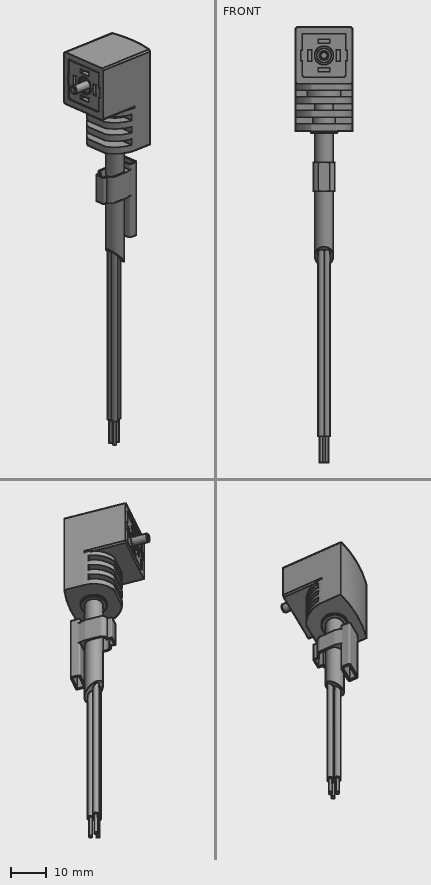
import cadquery as cq
import math


width = 16.0
half_width = width / 2
block_height = 16.0
housing_height = 29.1
front_y = -12.2
back_y = 7.0
back_bulge = 1.0
side_edge_chamfer = 0.5

neck_flat_y = -7.2
neck_corner_fillet = 1.2
groove_height = 1.8
groove_pitch = 3.8
first_groove_depth = 17.7
groove_floor_y = -1.1
groove_core_radii = [4.9, 2.8, 3.3]

socket_z = -block_height / 2
recess_size = 12.2
recess_depth = 0.4
recess_corner_chamfer = 0.5
tab_span = 12.9
tab_height = 3.0
slot_length = 3.3
slot_thickness = 1.1
slot_offset = 4.0
slot_depth = 1.8
counterbore_diameter = 5.2
counterbore_depth = 0.4
bore_diameter = 4.0
bore_depth = 1.8
pin_diameter = 2.5
pin_chamfer = 0.4
pin_tip_y = -16.3
recess_floor_y = front_y + recess_depth

collar_diameter = 7.5
collar_height = 0.6
collar_chamfer = 0.2
cable_diameter = 5.2
cable_radius = cable_diameter / 2
cable_cut_middle = -64.1
wire_diameter = 1.8
wire_end = -114.5
conductor_diameter = 1.0
conductor_end = -121.8
wire_positions = [(-0.79, -0.91), (0.79, -0.91), (0, 0.91)]

clip_top = -37.9
clip_height = 8.0
clip_wall = 0.43
clip_side_back_y = 1.6
clip_side_front_y = -2.7
nose_back_y = -4.6
nose_front_y = -6.0
nose_half = 1.6
nose_fillet = 0.2
tag_top = -36.3
tag_height = 22.5
tag_width = 5.2
tag_front_y = 3.2
tag_back_y = 6.1
tag_wall = 0.5
tag_fillet = 0.5


def box(x_range, y_range, z_range):
    """Box between the given limits on each axis."""
    (x0, x1), (y0, y1), (z0, z1) = x_range, y_range, z_range
    return cq.Workplane("XY").box(x1 - x0, y1 - y0, z1 - z0, centered=False).translate((x0, y0, z0))


def rod(diameter, top, bottom, position=(0, 0)):
    """Vertical round rod from top down to bottom."""
    plane = cq.Workplane("XY", origin=(*position, bottom))
    return plane.circle(diameter / 2).extrude(top - bottom)


def socket_plane(y):
    """Sketch plane on the socket axis, with its normal toward -Y."""
    return cq.Workplane("XZ", origin=(0, y, socket_z))


def bulged_prism(y_front, height):
    """Prism hanging from Z = 0 whose back is a shallow arc."""
    side_y = back_y - back_bulge
    return (
        cq.Workplane("XY")
        .moveTo(-half_width, y_front)
        .lineTo(half_width, y_front)
        .lineTo(half_width, side_y)
        .threePointArc((0, back_y), (-half_width, side_y))
        .close()
        .extrude(-height)
    )


def make_neck():
    """Rounded neck with a flat front and three grooves, each around its own round core."""
    side = (-half_width, half_width)
    height_range = (-housing_height, -block_height)
    neck = rod(width, -block_height, -housing_height)
    neck = neck.intersect(box(side, (neck_flat_y, 0), height_range))
    neck = neck.edges("|Z and <Y").fillet(neck_corner_fillet)
    for index, core_radius in enumerate(groove_core_radii):
        top = -first_groove_depth - index * groove_pitch
        bottom = top - groove_height
        groove = box(side, (-half_width, groove_floor_y), (bottom, top))
        neck = neck.cut(groove.cut(rod(2 * core_radius, top, bottom)))
    return neck


def cut_socket(housing):
    """Cut the face recess, its side tabs, the contact slots and the bore around the pin."""
    recess = socket_plane(front_y).rect(recess_size, recess_size).extrude(-recess_depth)
    recess = recess.edges("|Y and <Z").chamfer(recess_corner_chamfer)
    tabs = socket_plane(front_y).rect(tab_span, tab_height).extrude(-recess_depth)
    housing = housing.cut(recess).cut(tabs)

    slots_across = [(0, slot_offset), (0, -slot_offset)]
    slots_upright = [(slot_offset, 0), (-slot_offset, 0)]
    for centres, slot_size in (
        (slots_across, (slot_length, slot_thickness)),
        (slots_upright, (slot_thickness, slot_length)),
    ):
        slots = socket_plane(recess_floor_y).pushPoints(centres).rect(*slot_size).extrude(-slot_depth)
        housing = housing.cut(slots)

    counterbore = socket_plane(recess_floor_y).circle(counterbore_diameter / 2).extrude(-counterbore_depth)
    bore_floor = counterbore_depth + bore_depth
    bore = socket_plane(recess_floor_y).circle(bore_diameter / 2).extrude(-bore_floor)
    return housing.cut(counterbore).cut(bore)


def make_pin():
    """Round pin standing on the floor of the bore."""
    root_y = recess_floor_y + counterbore_depth + bore_depth
    pin = socket_plane(root_y).circle(pin_diameter / 2).extrude(root_y - pin_tip_y)
    return pin.faces("<Y").chamfer(pin_chamfer)


def make_cable():
    """Collar, cable sheath cut off at 45 degrees, and three stripped wires."""
    collar_bottom = -housing_height - collar_height
    collar = rod(collar_diameter, -housing_height, collar_bottom).faces("<Z").chamfer(collar_chamfer)
    cut_low = cable_cut_middle - cable_radius
    cut_high = cable_cut_middle + cable_radius
    sheath = rod(cable_diameter, -housing_height, cut_low)
    cut_off = (
        cq.Workplane("YZ")
        .polyline([(cable_radius, cut_low), (-cable_radius, cut_high), (-cable_radius, cut_low)])
        .close()
        .extrude(cable_radius, both=True)
    )
    cable = collar.union(sheath.cut(cut_off))
    for position in wire_positions:
        cable = cable.union(rod(wire_diameter, cut_high, wire_end, position))
        cable = cable.union(rod(conductor_diameter, wire_end, conductor_end, position))
    return cable


def make_connector():
    """Housing, pin, cable and wires moulded as one body."""
    block = bulged_prism(front_y, block_height).edges("|Y and <Z").chamfer(side_edge_chamfer)
    housing = block.union(bulged_prism(0, housing_height))
    housing = housing.edges("|Y and >Z").chamfer(side_edge_chamfer)
    housing = cut_socket(housing.union(make_neck()))
    return housing.union(make_pin()).union(make_cable())


def clip_ring_outline(wall):
    """Prism of the ring outline, the given wall thickness outside the hollow around the cable."""
    inset = clip_wall - wall
    side = cable_radius + wall
    nose = nose_half - inset
    nose_back = nose_back_y + inset
    nose_front = nose_front_y + inset
    diagonal = math.sqrt(0.5)
    arc_x = nose + (side - nose) * diagonal
    arc_y = clip_side_front_y + (nose_back - clip_side_front_y) * diagonal
    return (
        cq.Workplane("XY", origin=(0, 0, clip_top))
        .moveTo(-side, 0)
        .lineTo(-side, clip_side_front_y)
        .threePointArc((-arc_x, arc_y), (-nose, nose_back))
        .lineTo(-nose, nose_front)
        .lineTo(nose, nose_front)
        .lineTo(nose, nose_back)
        .threePointArc((arc_x, arc_y), (side, clip_side_front_y))
        .lineTo(side, 0)
        .threePointArc((0, side), (-side, 0))
        .close()
        .extrude(-clip_height)
    )


def make_marker_clip():
    """Clip ring around the cable carrying a hollow tag holder behind it."""
    clip_side = cable_radius + clip_wall
    tag_half = tag_width / 2
    tag_middle_y = (tag_front_y + tag_back_y) / 2
    tag_plane = cq.Workplane("XY", origin=(0, tag_middle_y, tag_top))
    tag_depth = tag_back_y - tag_front_y
    tag = tag_plane.rect(tag_width, tag_depth).extrude(-tag_height).edges("|Z").fillet(tag_fillet)
    tag_hollow = tag_plane.rect(tag_width - 2 * tag_wall, tag_depth - 2 * tag_wall).extrude(-tag_height)

    saddle_back_y = tag_front_y + tag_fillet
    saddle = (
        cq.Workplane("XY", origin=(0, 0, clip_top))
        .moveTo(-clip_side, 0)
        .lineTo(-clip_side, clip_side_back_y)
        .lineTo(-tag_half, saddle_back_y)
        .lineTo(tag_half, saddle_back_y)
        .lineTo(clip_side, clip_side_back_y)
        .lineTo(clip_side, 0)
        .close()
        .extrude(-clip_height)
    )
    ring = clip_ring_outline(clip_wall).edges("|Z and <Y").fillet(nose_fillet)
    ring = ring.union(saddle).cut(clip_ring_outline(0))
    return ring.union(tag).cut(tag_hollow)


connector = make_connector()
marker_clip = make_marker_clip()
result = cq.Compound.makeCompound([connector.solids().val(), marker_clip.solids().val()])